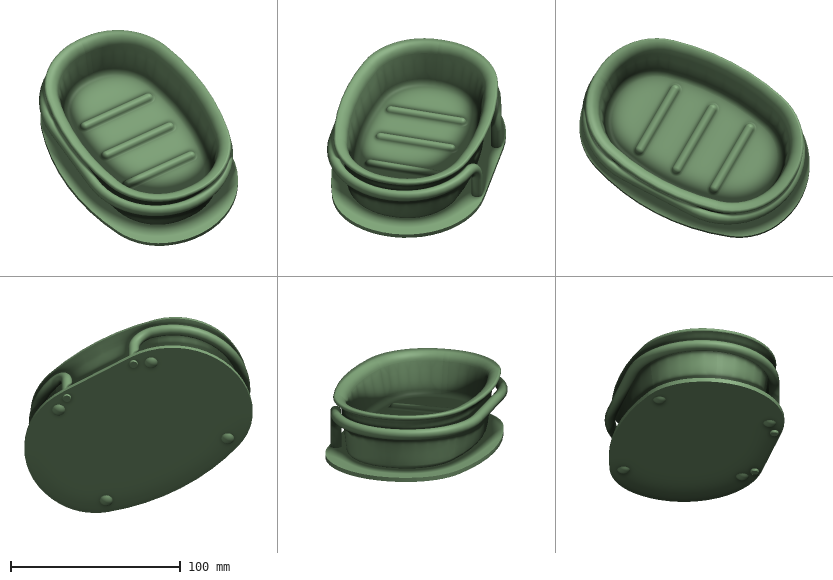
import cadquery as cq
import math


plate_length = 141.3
plate_depth = 94.7
plate_thickness = 2.5
plate_corner_radius = 37.6
plate_end_sweep = math.radians(24.4)
plate_end_radius = plate_depth / 2
plate_end_x = plate_length / 2 - plate_end_radius

foot_radius = 3.8
foot_height = 2.0
front_feet_x = 42.0
front_feet_y = -31.8
back_feet_x = 31.9
back_feet_y = 37.7

wire_diameter = 6.4
ring_height = 27.5
ring_end_x = 23.0
ring_end_y = -1.1
ring_radius = 42.4
bend_radius = 11.9

post_x = ring_end_x
post_y = ring_end_y + math.hypot(ring_radius, bend_radius)
bend_turn = math.atan2(bend_radius, ring_radius)

screw_neck_radius = 2.3
screw_head_radius = 2.5
screw_head_height = 1.7
screw_edge = 0.5

floor_half_depth = 30.0
floor_corner_radius = 24.9
floor_corner_x = 26.4
floor_corner_y = 1.7

bowl_bottom = 3.8
bowl_height = 35.3
floor_thickness = 9.7
outside_taper = math.radians(7)
inside_floor_radius = 4.0
outside_floor_radius = 3.0
bowl_foot_offset = 7.2
inside_flare_radius = 6.8
outside_flare_depth = 7.8
rim_offset = 14.0
lip_radius = 1.34
lip_end_angle = math.radians(-40)
bowl_top = bowl_bottom + bowl_height
floor_top = bowl_bottom + floor_thickness

rib_count = 3
rib_spacing = 25.0
rib_half_length = 21.5
rib_radius = 2.8
rib_base_radius = 1.7
rib_root_depth = 1.4


def polar(center, radius, angle):
    return (center[0] + radius * math.cos(angle), center[1] + radius * math.sin(angle))


def bow_radius(corner_x, corner_y, corner_radius, half_depth):
    """Radius of the arc through (0, half_depth) that is tangent to the corner arc."""
    rise = half_depth - corner_y
    return (corner_x**2 + rise**2 - corner_radius**2) / (2 * (rise - corner_radius))


def make_plate():
    end = (plate_end_x, 0)
    corner = polar(end, plate_end_radius - plate_corner_radius, -plate_end_sweep)
    front_y = -plate_depth / 2
    bow = bow_radius(corner[0], -corner[1], plate_corner_radius, plate_depth / 2)
    bow_center = (0, front_y + bow)
    bow_angle = math.atan2(corner[1] - bow_center[1], corner[0])
    side = polar(end, plate_end_radius, -plate_end_sweep)
    corner_middle = polar(corner, plate_corner_radius, (bow_angle - plate_end_sweep) / 2)
    front = polar(bow_center, bow, bow_angle)
    return (
        cq.Workplane("XY")
        .moveTo(-plate_end_x, plate_depth / 2)
        .lineTo(plate_end_x, plate_depth / 2)
        .threePointArc((plate_length / 2, 0), side)
        .threePointArc(corner_middle, front)
        .threePointArc((0, front_y), (-front[0], front[1]))
        .threePointArc((-corner_middle[0], corner_middle[1]), (-side[0], side[1]))
        .threePointArc((-plate_length / 2, 0), (-plate_end_x, plate_depth / 2))
        .close()
        .extrude(plate_thickness)
    )


def make_foot(x, y):
    return (
        cq.Workplane("XZ")
        .moveTo(0, 0)
        .lineTo(foot_radius, 0)
        .radiusArc((0, -foot_height), (foot_radius**2 + foot_height**2) / (2 * foot_height))
        .close()
        .revolve(360, (0, 0), (0, 1))
        .translate((x, y, 0))
    )


def make_holder():
    ring_center = (ring_end_x, ring_end_y)
    back_x, back_y = polar(ring_center, ring_radius, math.pi / 2 - bend_turn)
    front_y = ring_end_y - ring_radius
    side_x = ring_end_x + ring_radius
    bend_bottom = ring_height - bend_radius
    reach = bend_radius * math.sin(math.pi / 4)

    def path_points(side):
        """Points along one half of the wire, from the foot of its post to the front of the ring."""
        return [
            cq.Vector(side * x, y, z)
            for x, y, z in (
                (post_x, post_y, plate_thickness),
                (post_x, post_y, bend_bottom),
                (
                    back_x - reach * math.cos(bend_turn),
                    back_y + reach * math.sin(bend_turn),
                    bend_bottom + reach,
                ),
                (back_x, back_y, ring_height),
                (side_x, ring_end_y, ring_height),
                (ring_end_x, front_y, ring_height),
            )
        ]

    foot, post_top, bend_middle, ring_back, ring_side, ring_front = path_points(-1)
    far_foot, far_post_top, far_bend_middle, far_ring_back, far_ring_side, far_ring_front = path_points(1)
    edges = [
        cq.Edge.makeLine(foot, post_top),
        cq.Edge.makeThreePointArc(post_top, bend_middle, ring_back),
        cq.Edge.makeThreePointArc(ring_back, ring_side, ring_front),
        cq.Edge.makeLine(ring_front, far_ring_front),
        cq.Edge.makeThreePointArc(far_ring_front, far_ring_side, far_ring_back),
        cq.Edge.makeThreePointArc(far_ring_back, far_bend_middle, far_post_top),
        cq.Edge.makeLine(far_post_top, far_foot),
    ]
    path = cq.Workplane(cq.Wire.assembleEdges(edges))
    return (
        cq.Workplane("XY", origin=(-post_x, post_y, plate_thickness))
        .circle(wire_diameter / 2)
        .sweep(path)
    )


def make_screw(x):
    return (
        cq.Workplane("XZ")
        .moveTo(0, 0)
        .lineTo(screw_neck_radius, 0)
        .lineTo(screw_head_radius, -screw_edge)
        .lineTo(screw_head_radius, screw_edge - screw_head_height)
        .lineTo(screw_neck_radius, -screw_head_height)
        .lineTo(0, -screw_head_height)
        .close()
        .revolve(360, (0, 0), (0, 1))
        .translate((x, post_y, 0))
    )


def floor_outline(height):
    """The bowl's floor edge, starting at the middle of its -X end."""
    corner = (floor_corner_x, floor_corner_y)
    end_x = floor_corner_x + floor_corner_radius
    bow = bow_radius(*corner, floor_corner_radius, floor_half_depth)
    bow_center = (0, floor_half_depth - bow)
    bow_angle = math.atan2(floor_corner_y - bow_center[1], floor_corner_x)
    middle_x, middle_y = polar(corner, floor_corner_radius, bow_angle / 2)
    side_x, side_y = polar(bow_center, bow, bow_angle)
    return (
        cq.Workplane("XY", origin=(0, 0, height))
        .moveTo(-end_x, 0)
        .lineTo(-end_x, floor_corner_y)
        .threePointArc((-middle_x, middle_y), (-side_x, side_y))
        .threePointArc((0, floor_half_depth), (side_x, side_y))
        .threePointArc((middle_x, middle_y), (end_x, floor_corner_y))
        .lineTo(end_x, -floor_corner_y)
        .threePointArc((middle_x, -middle_y), (side_x, -side_y))
        .threePointArc((0, -floor_half_depth), (-side_x, -side_y))
        .threePointArc((-middle_x, -middle_y), (-end_x, -floor_corner_y))
        .close()
    )


def wall_section():
    """Section of the bowl wall at its -X end, from the floor edge out to the lip."""

    def at(offset, height):
        return (-(floor_corner_x + floor_corner_radius) - offset, height)

    def on_arc(center, radius, angle):
        return at(*polar(center, radius, angle))

    bottom_setback = outside_floor_radius * math.tan((math.pi / 2 - outside_taper) / 2)
    bottom_fillet = (bowl_foot_offset - bottom_setback, bowl_bottom + outside_floor_radius)
    flare_height = bowl_height - outside_flare_depth
    flare_start = (bowl_foot_offset + flare_height * math.tan(outside_taper), bowl_bottom + flare_height)

    lip = (rim_offset, bowl_top - lip_radius)

    floor_fillet = (0, floor_top + inside_floor_radius)
    inside_flare = (rim_offset, bowl_top - inside_flare_radius)
    run = inside_flare[0] - floor_fillet[0]
    rise = inside_flare[1] - floor_fillet[1]
    inside_taper = math.acos(
        (inside_floor_radius + inside_flare_radius) / math.hypot(run, rise)
    ) - math.atan2(rise, run)
    flare_end_angle = math.pi - inside_taper

    return (
        cq.Workplane("XZ")
        .moveTo(*at(0, bowl_bottom))
        .lineTo(*on_arc(bottom_fillet, outside_floor_radius, -math.pi / 2))
        .threePointArc(
            on_arc(bottom_fillet, outside_floor_radius, -(math.pi / 2 + outside_taper) / 2),
            on_arc(bottom_fillet, outside_floor_radius, -outside_taper),
        )
        .lineTo(*at(*flare_start))
        .tangentArcPoint(on_arc(lip, lip_radius, lip_end_angle), relative=False)
        .threePointArc(on_arc(lip, lip_radius, 0), at(rim_offset, bowl_top))
        .threePointArc(
            on_arc(inside_flare, inside_flare_radius, (flare_end_angle + math.pi / 2) / 2),
            on_arc(inside_flare, inside_flare_radius, flare_end_angle),
        )
        .lineTo(*on_arc(floor_fillet, inside_floor_radius, -inside_taper))
        .threePointArc(
            on_arc(floor_fillet, inside_floor_radius, -(math.pi / 2 + inside_taper) / 2),
            at(0, floor_top),
        )
        .close()
    )


def make_rib(x):
    """Half-round rib with domed ends, blended into the floor all round."""
    reach = math.sqrt((rib_radius + rib_base_radius) ** 2 - rib_base_radius**2)
    blend = math.atan2(rib_base_radius, reach)
    base = (reach, rib_base_radius)
    base_turn = math.pi + blend

    def half_section(end_y):
        return (
            cq.Workplane("XZ", origin=(x, end_y, floor_top))
            .moveTo(0, -rib_root_depth)
            .lineTo(0, rib_radius)
            .threePointArc(
                polar((0, 0), rib_radius, (math.pi / 2 + blend) / 2),
                polar((0, 0), rib_radius, blend),
            )
            .threePointArc(
                polar(base, rib_base_radius, (base_turn + 3 * math.pi / 2) / 2), (reach, 0)
            )
            .lineTo(reach, -rib_root_depth)
            .close()
        )

    side = half_section(rib_half_length).extrude(2 * rib_half_length)
    rib = side.union(side.mirror("YZ", (x, 0, 0)))
    for end_y in (-rib_half_length, rib_half_length):
        end = half_section(end_y).revolve(360, (0, 0), (0, 1))
        rib = rib.union(end)
    return rib


def make_bowl():
    bowl = wall_section().sweep(floor_outline(bowl_bottom))
    bowl = bowl.union(floor_outline(bowl_bottom).extrude(floor_thickness))
    for i in range(rib_count):
        bowl = bowl.union(make_rib((i - (rib_count - 1) / 2) * rib_spacing))
    return bowl


plate = make_plate()
holder = make_holder()
bowl = make_bowl()
screws = [make_screw(x) for x in (-post_x, post_x)]
feet = [
    make_foot(side * x, y)
    for x, y in ((front_feet_x, front_feet_y), (back_feet_x, back_feet_y))
    for side in (-1, 1)
]

result = cq.Compound.makeCompound(
    [
        plate.val(),
        holder.val(),
        bowl.val(),
        *[screw.val() for screw in screws],
        *[foot.val() for foot in feet],
    ]
)